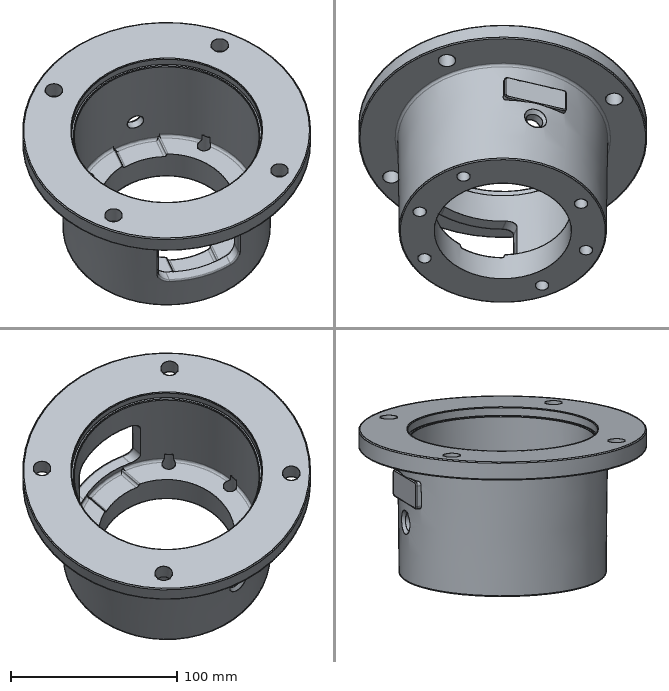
import cadquery as cq
import math

flange_diameter = 173.0
height = 88.9
flange_thickness = 11.2
flange_radius = flange_diameter / 2
flange_bottom = height - flange_thickness

drum_top_radius = 63.1
drum_bottom_radius = 62.3
flange_root_fillet = 1.5
edge_chamfer = 0.7

bore_radius = 55.5
pilot_radius = 57.0
pilot_depth = 5.2
pilot_chamfer = 0.5
bore_top = height - pilot_depth
floor_height = 20.0
floor_hole_radius = 41.2
floor_fillet = 1.7

channel_half_width = 13.8
channel_depth = 2.5
channel_foot_fillet = 1.5
channel_lip_round = channel_depth - channel_foot_fillet

flange_hole_radius = 5.2
flange_hole_spacing = 105.9

floor_bolt_radius = 4.0
floor_bolt_circle_radius = 52.5
floor_bolt_top = 25.6
floor_bolt_angles = (45, 90, 135, 225, 270, 315)

window_half_width = 25.5
window_bottom = 23.2
window_top = 62.0
window_corner_radius = 6.0
window_rim_round = 0.9

side_hole_height = 36.5
side_hole_radius = 5.2
side_hole_mouth_radius = 7.8
pad_face_offset = 63.1
pad_width = 39.1
pad_bottom = 48.6
pad_top = 65.4
pad_corner_radius = 2.0


def make_outer_body():
    outline = (
        cq.Workplane("XZ")
        .lineTo(drum_bottom_radius, 0)
        .lineTo(drum_top_radius, flange_bottom)
        .lineTo(flange_radius, flange_bottom)
        .lineTo(flange_radius, height)
        .lineTo(0, height)
        .close()
    )
    body = outline.revolve(360, (0, 0), (0, 1))
    drum_top_edge = cq.selectors.RadiusNthSelector(1)
    body = body.edges("%CIRCLE").edges(drum_top_edge).fillet(flange_root_fillet)
    flange_edges = cq.selectors.RadiusNthSelector(-1)
    body = body.edges("%CIRCLE").edges(flange_edges).chamfer(edge_chamfer)
    return body.faces("<Z").edges().chamfer(edge_chamfer)


def make_pad():
    depth = pad_face_offset - bore_radius
    pad = cq.Workplane("XY").box(depth, pad_width, pad_top - pad_bottom, centered=(False, True, False))
    pad = pad.edges("|X").fillet(pad_corner_radius).faces("<X").edges().chamfer(edge_chamfer)
    return pad.translate((-pad_face_offset, 0, pad_bottom))


def cut_window(body):
    inner_x = bore_radius / 2
    depth = flange_radius - inner_x
    window = (
        cq.Workplane("XY")
        .box(depth, 2 * window_half_width, window_top - window_bottom, centered=(False, True, False))
        .edges("|X")
        .fillet(window_corner_radius)
        .translate((inner_x, 0, window_bottom))
    )
    rim_gap = 0.2
    rim_zone = cq.selectors.BoxSelector(
        (bore_radius, -window_half_width - rim_gap, window_bottom - rim_gap),
        (flange_radius, window_half_width + rim_gap, window_top + rim_gap),
    )
    return body.cut(window).edges(rim_zone).fillet(window_rim_round)


def make_cavity():
    outline = (
        cq.Workplane("XZ")
        .moveTo(0, floor_height)
        .lineTo(bore_radius, floor_height)
        .lineTo(bore_radius, bore_top - pilot_chamfer)
        .lineTo(bore_radius + pilot_chamfer, bore_top)
        .lineTo(pilot_radius, bore_top)
        .lineTo(pilot_radius, height - pilot_chamfer)
        .lineTo(pilot_radius + pilot_chamfer, height)
        .lineTo(0, height)
        .close()
    )
    cavity = outline.revolve(360, (0, 0), (0, 1))
    return cavity.faces("<Z").edges().fillet(floor_fillet)


def make_channel():
    channel_floor = floor_height - channel_depth
    lip = channel_half_width + channel_lip_round
    foot = channel_half_width - channel_foot_fillet
    round_start = floor_height - channel_lip_round
    profile = (
        cq.Workplane("YZ", origin=(-bore_radius, 0, 0))
        .moveTo(-lip, floor_height)
        .radiusArc((-channel_half_width, round_start), channel_lip_round)
        .radiusArc((-foot, channel_floor), -channel_foot_fillet)
        .lineTo(foot, channel_floor)
        .radiusArc((channel_half_width, round_start), -channel_foot_fillet)
        .radiusArc((lip, floor_height), channel_lip_round)
        .lineTo(lip, bore_top)
        .lineTo(-lip, bore_top)
        .close()
    )
    bounds = cq.Workplane("XY").workplane(offset=channel_floor).circle(bore_radius).extrude(height)
    bounds = bounds.faces("<Z").edges().fillet(floor_fillet)
    return profile.extrude(2 * bore_radius).intersect(bounds)


def make_side_hole():
    start = cq.Vector(-drum_top_radius, 0, side_hole_height)
    inward = cq.Vector(1, 0, 0)
    mouth_depth = side_hole_mouth_radius - side_hole_radius
    hole = cq.Solid.makeCylinder(side_hole_radius, drum_top_radius, start, inward)
    mouth = cq.Solid.makeCone(side_hole_mouth_radius, side_hole_radius, mouth_depth, start, inward)
    return cq.Workplane(hole).union(cq.Workplane(mouth))


def make_flange_holes():
    return (
        cq.Workplane("XY", origin=(0, 0, flange_bottom))
        .rect(flange_hole_spacing, flange_hole_spacing, forConstruction=True)
        .vertices()
        .circle(flange_hole_radius)
        .extrude(flange_thickness)
    )


def make_floor_holes():
    centers = []
    for angle in floor_bolt_angles:
        x = floor_bolt_circle_radius * math.cos(math.radians(angle))
        y = floor_bolt_circle_radius * math.sin(math.radians(angle))
        centers.append((x, y))
    return cq.Workplane("XY").pushPoints(centers).circle(floor_bolt_radius).extrude(floor_bolt_top)


floor_opening = cq.Workplane("XY").circle(floor_hole_radius).extrude(height)

result = cut_window(make_outer_body().union(make_pad()))
result = result.cut(make_cavity()).cut(make_channel()).cut(floor_opening)
result = result.cut(make_side_hole()).cut(make_flange_holes()).cut(make_floor_holes())